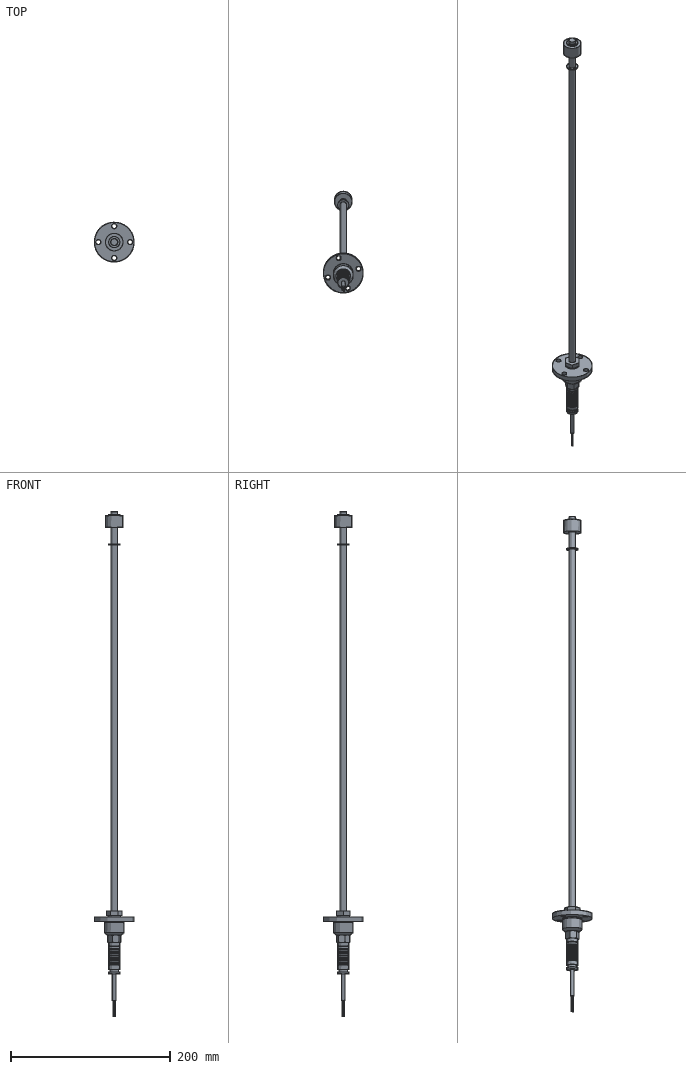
import cadquery as cq
import math

OVERALL_LENGTH = 634.81

FLANGE_DIAMETER = 50.0
FLANGE_THICKNESS = 6.0
HOLE_DIAMETER = 6.0
HOLE_CIRCLE_RADIUS = 20.0
HOLE_COUNT = 4

COLLAR_DIAMETER = 25.0
COLLAR_BOTTOM = -23.0
COLLAR_CHAMFER_WIDTH = 3.5
COLLAR_CHAMFER_HEIGHT = 3.2
UNDERCUT_DIAMETER = 22.0
UNDERCUT_HEIGHT = 1.5

HEAD_WIDTH = 17.0
HEAD_TOP = 7.5
HEAD_NECK_DIAMETER = 16.0
HEAD_NECK_HEIGHT = 1.5

STEM_DIAMETER = 8.5
STEM_TOP = 509.3

STOP_DIAMETER = 14.0
STOP_THICKNESS = 1.2
UPPER_STOP_BOTTOM = 504.4
LOWER_STOP_BOTTOM = 467.4

FLOAT_DIAMETER = 22.0
FLOAT_BORE = 9.0
FLOAT_HEIGHT = 15.0

GLAND_HEX_WIDTH = 15.0
GLAND_HEX_HEIGHT = 9.5
GLAND_HEX_ANGLE = 15.0
HEX_CHAMFER_ANGLE = 30.0

RELIEF_DIAMETER = 14.0
RELIEF_CORE_DIAMETER = 11.0
RELIEF_BOTTOM = -71.7
GROOVE_COUNT = 8
GROOVE_WIDTH = 1.2
GROOVE_PITCH = 2.8
FIRST_GROOVE_TOP = -40.0
SHOULDER_GROOVE_TOP = -36.5
SHOULDER_GROOVE_WIDTH = 0.6
END_RIM_HEIGHT = 2.5
END_NECK_HEIGHT = 3.2

CABLE_DIAMETER = 5.0
CABLE_BOTTOM = -105.2
WIRE_DIAMETER = 1.4
WIRE_OFFSET = 1.1
WIRE_ANGLES = (147.0, 327.0)

UNDERCUT_BOTTOM = -FLANGE_THICKNESS - UNDERCUT_HEIGHT
GLAND_HEX_BOTTOM = COLLAR_BOTTOM - GLAND_HEX_HEIGHT
WIRE_BOTTOM = STEM_TOP - OVERALL_LENGTH


def cylinder(diameter, bottom, top):
    return cq.Workplane("XY").workplane(offset=bottom).circle(diameter / 2).extrude(top - bottom)


def cone(bottom_diameter, top_diameter, bottom, top):
    base = cq.Workplane("XY").workplane(offset=bottom).circle(bottom_diameter / 2)
    return base.workplane(offset=top - bottom).circle(top_diameter / 2).loft(ruled=True)


def ring(outer_diameter, inner_diameter, bottom, top):
    return cylinder(outer_diameter, bottom, top).cut(cylinder(inner_diameter, bottom, top))


def hexagon(width, bottom, top):
    """Hexagonal prism of the given width across flats, with two corners on the X axis."""
    corner_diameter = width / math.cos(math.pi / 6)
    return cq.Workplane("XY").workplane(offset=bottom).polygon(6, corner_diameter).extrude(top - bottom)


def chamfered_hexagon(width, bottom, top):
    """Hexagonal prism whose corners are turned off conically at both ends."""
    corner_diameter = width / math.cos(math.pi / 6)
    chamfer_height = (corner_diameter - width) / 2 * math.tan(math.radians(HEX_CHAMFER_ANGLE))
    envelope = (
        cone(width, corner_diameter, bottom, bottom + chamfer_height)
        .union(cylinder(corner_diameter, bottom + chamfer_height, top - chamfer_height))
        .union(cone(corner_diameter, width, top - chamfer_height, top))
    )
    return hexagon(width, bottom, top).intersect(envelope)


def make_flange():
    """Drilled disc with a hexagonal head above and an undercut, chamfered collar below."""
    disc = cylinder(FLANGE_DIAMETER, -FLANGE_THICKNESS, 0)
    holes = (
        cq.Workplane("XY")
        .polarArray(HOLE_CIRCLE_RADIUS, 0, 360, HOLE_COUNT)
        .circle(HOLE_DIAMETER / 2)
        .extrude(-FLANGE_THICKNESS)
    )
    chamfer_top = COLLAR_BOTTOM + COLLAR_CHAMFER_HEIGHT
    collar_tip_diameter = COLLAR_DIAMETER - 2 * COLLAR_CHAMFER_WIDTH
    collar = cylinder(COLLAR_DIAMETER, chamfer_top, UNDERCUT_BOTTOM)
    collar = collar.union(cone(collar_tip_diameter, COLLAR_DIAMETER, COLLAR_BOTTOM, chamfer_top))
    undercut = cone(UNDERCUT_DIAMETER, COLLAR_DIAMETER, UNDERCUT_BOTTOM, -FLANGE_THICKNESS)
    head_neck = cylinder(HEAD_NECK_DIAMETER, 0, HEAD_NECK_HEIGHT)
    head = hexagon(HEAD_WIDTH, HEAD_NECK_HEIGHT, HEAD_TOP)
    body = disc.cut(holes).union(undercut).union(collar).union(head_neck).union(head)
    return body.cut(cylinder(STEM_DIAMETER, 0, HEAD_TOP))


def make_stem():
    return cylinder(STEM_DIAMETER, 0, STEM_TOP)


def make_stop(bottom):
    """Thin ring on the stem that limits the travel of the float."""
    return ring(STOP_DIAMETER, STEM_DIAMETER, bottom, bottom + STOP_THICKNESS)


def make_float():
    """Float resting against the underside of the upper stop."""
    return ring(FLOAT_DIAMETER, FLOAT_BORE, UPPER_STOP_BOTTOM - FLOAT_HEIGHT, UPPER_STOP_BOTTOM)


def make_gland():
    """Cable gland: hexagon, then a grooved strain relief that ends in a thin rim."""

    def groove(top, width):
        return ring(RELIEF_DIAMETER, RELIEF_CORE_DIAMETER, top - width, top)

    body = chamfered_hexagon(GLAND_HEX_WIDTH, GLAND_HEX_BOTTOM, COLLAR_BOTTOM)
    body = body.rotate((0, 0, 0), (0, 0, 1), GLAND_HEX_ANGLE)
    body = body.union(cylinder(RELIEF_DIAMETER, RELIEF_BOTTOM, GLAND_HEX_BOTTOM))
    body = body.cut(groove(SHOULDER_GROOVE_TOP, SHOULDER_GROOVE_WIDTH))
    for index in range(GROOVE_COUNT):
        body = body.cut(groove(FIRST_GROOVE_TOP - index * GROOVE_PITCH, GROOVE_WIDTH))
    end_neck_top = RELIEF_BOTTOM + END_RIM_HEIGHT + END_NECK_HEIGHT
    body = body.cut(groove(end_neck_top, END_NECK_HEIGHT))
    return body.cut(cylinder(CABLE_DIAMETER, RELIEF_BOTTOM, GLAND_HEX_BOTTOM))


def make_cable():
    return cylinder(CABLE_DIAMETER, CABLE_BOTTOM, GLAND_HEX_BOTTOM)


def make_wire(angle):
    """Single conductor that leaves the end of the cable beside its axis."""
    x = WIRE_OFFSET * math.cos(math.radians(angle))
    y = WIRE_OFFSET * math.sin(math.radians(angle))
    return cylinder(WIRE_DIAMETER, WIRE_BOTTOM, CABLE_BOTTOM).translate((x, y, 0))


flange = make_flange()
stem = make_stem()
level_float = make_float()
gland = make_gland()
cable = make_cable()
stops = [make_stop(bottom) for bottom in (LOWER_STOP_BOTTOM, UPPER_STOP_BOTTOM)]
wires = [make_wire(angle) for angle in WIRE_ANGLES]

bodies = [flange, stem, level_float, gland, cable] + stops + wires
result = cq.Compound.makeCompound([body.val() for body in bodies])